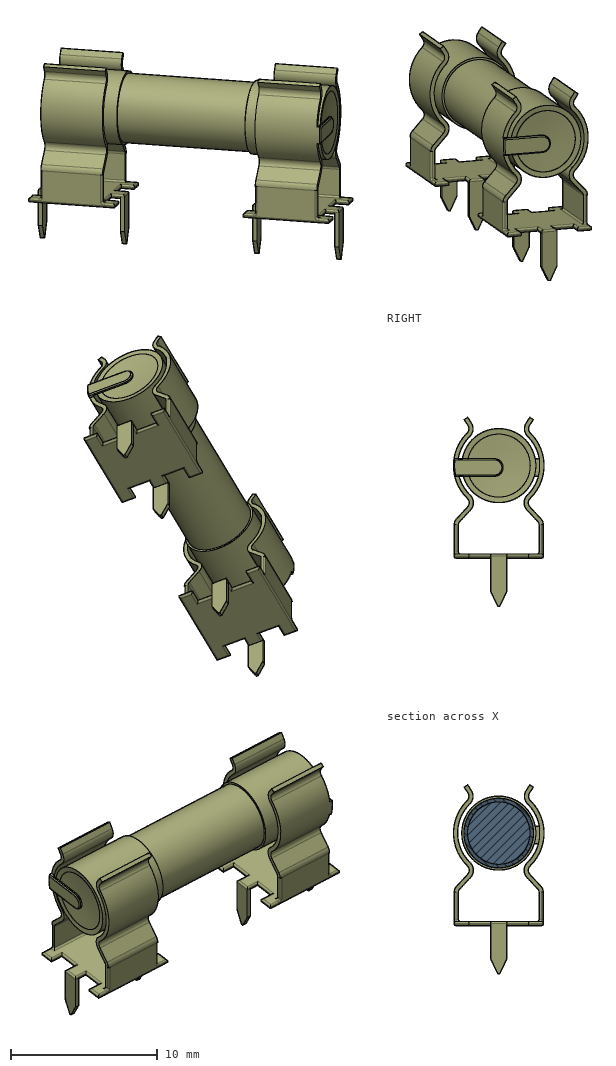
import cadquery as cq
import math

fuse_length = 19.7
axis_height = 6.32
cap_radius = 2.53
tube_radius = 2.38
core_radius = 2.15
cap_length = 5.32
dish_depth = 0.17

overall_length = 21.28
sheet = 0.3
base_length = 6.1
base_width = 6.09
leaf_length = 4.36
edge_round = 0.13

notch_depth = 0.92
pad_width = 1.02
pin_width = 1.1
pin_tip_width = 0.13
pin_depth = 3.28
pin_taper = 1.0

grip_diameter = 6.2
upper_grip_angle = 45.5
upper_crimp_radius = 0.57
lip_angle = 33.0
lip_length = 0.47
lower_grip_angle = 46.0
lower_crimp_radius = 0.57
shoulder_angle = 43.0
shoulder_bend_radius = 0.45

strap_reach = 0.28
strap_height = 1.21
strap_drop = 0.13
strap_overhang = 0.3
strap_chamfer = 0.09

fuse_end = fuse_length / 2
base_center = (overall_length - base_length) / 2
leaf_end = base_center + leaf_length / 2
leaf_start = base_center - leaf_length / 2
strap_outer = leaf_end + strap_reach
grip_radius = grip_diameter / 2
grip_mid_radius = grip_radius - sheet / 2
wall_mid = base_width / 2 - sheet / 2


def x_cylinder(radius, x_start, x_end):
    """Cylinder on the fuse axis between two X positions."""
    plane = cq.Workplane("YZ", origin=(x_start, 0, axis_height))
    return plane.circle(radius).extrude(x_end - x_start)


def dish_point(radius):
    """Point (x, radius) on the spherical hollow of the +X fuse end."""
    ball_radius = (cap_radius ** 2 + dish_depth ** 2) / (2 * dish_depth)
    rise = ball_radius - math.sqrt(ball_radius ** 2 - radius ** 2)
    return (fuse_end - dish_depth + rise, radius)


def spin(profile):
    """Turn a half profile of (x, radius) points about the fuse axis."""
    return profile.close().revolve(360, (0, 0, 0), (1, 0, 0)).translate((0, 0, axis_height))


def make_core():
    """Core that fills the tube and the caps, hollowed at both ends."""
    half_profile = (
        cq.Workplane("XY")
        .lineTo(*dish_point(0))
        .threePointArc(dish_point(core_radius / 2), dish_point(core_radius))
        .lineTo(0, core_radius)
    )
    half = spin(half_profile)
    return half.union(half.mirror("YZ"))


def make_tube():
    tube_end = fuse_end - cap_length
    outside = x_cylinder(tube_radius, -tube_end, tube_end)
    return outside.cut(x_cylinder(core_radius, -tube_end, tube_end))


def make_cap():
    """Ring cap at the +X end, its end face continuing the core's hollow."""
    inner_end = fuse_end - cap_length
    profile = (
        cq.Workplane("XY")
        .moveTo(inner_end, core_radius)
        .lineTo(inner_end, cap_radius)
        .lineTo(*dish_point(cap_radius))
        .threePointArc(dish_point((cap_radius + core_radius) / 2), dish_point(core_radius))
    )
    return spin(profile)


def bent_strip(steps):
    """Strip of sheet in the YZ plane, starting at the grip's widest point.

    Heights are relative to the fuse axis and the strip first runs upward.
    A step is (length, 0) for a straight, or (mid-plane radius, turn in
    degrees) for a bend; a positive turn leans toward the fuse axis.
    """
    y, z, heading = grip_mid_radius, 0.0, 0.0
    half = sheet / 2

    def side_point(y_mid, z_mid, angle, offset):
        return (y_mid + offset * math.cos(angle), z_mid + offset * math.sin(angle))

    stations = [(y, z, heading)]
    arc_middles = []
    for size, turn in steps:
        if turn == 0:
            y -= size * math.sin(heading)
            z += size * math.cos(heading)
            arc_middles.append(None)
        else:
            reach = math.copysign(size, turn)
            center_y = y - reach * math.cos(heading)
            center_z = z - reach * math.sin(heading)
            middle = heading + math.radians(turn) / 2
            heading += math.radians(turn)
            arc_middles.append((*side_point(center_y, center_z, middle, reach), middle))
            y, z = side_point(center_y, center_z, heading, reach)
        stations.append((y, z, heading))

    def trace(outline, targets, middles, offset):
        for target, middle in zip(targets, middles):
            end = side_point(*target, offset)
            if middle is None:
                outline = outline.lineTo(*end)
            else:
                outline = outline.threePointArc(side_point(*middle, offset), end)
        return outline

    outline = cq.Workplane("YZ", origin=(leaf_start, 0, 0)).moveTo(*side_point(*stations[0], half))
    outline = trace(outline, stations[1:], arc_middles, half)
    outline = outline.lineTo(*side_point(*stations[-1], -half))
    outline = trace(outline, stations[-2::-1], arc_middles[::-1], -half)
    return outline.close().extrude(leaf_length)


def make_upper_leaf():
    """Upper half of the grip, its crimp and the flared lip."""
    steps = [
        (grip_mid_radius, upper_grip_angle),
        (upper_crimp_radius, -upper_grip_angle - lip_angle),
        (lip_length, 0),
    ]
    return bent_strip(steps).translate((0, 0, axis_height))


def make_lower_leaf():
    """Lower half of the grip, its crimp and the sloped shoulder, down to the wall top."""
    grip = math.radians(lower_grip_angle)
    slope = math.radians(shoulder_angle)
    crimp_center = grip_mid_radius + lower_crimp_radius
    shoulder_start = crimp_center * math.cos(grip) - lower_crimp_radius * math.cos(slope)
    bend_width = shoulder_bend_radius * (1 - math.cos(slope))
    shoulder_length = (wall_mid - bend_width - shoulder_start) / math.sin(slope)
    steps = [
        (grip_mid_radius, lower_grip_angle),
        (lower_crimp_radius, -lower_grip_angle - shoulder_angle),
        (shoulder_length, 0),
        (shoulder_bend_radius, shoulder_angle),
    ]
    return bent_strip(steps).mirror("XY").translate((0, 0, axis_height))


def make_tray(wall_top):
    """Notched base plate with its two upright walls, rounded along its rims and wall feet."""
    tray = cq.Workplane("XY").box(base_length, base_width, sheet, centered=(True, True, False))
    notch_outer = base_width / 2 - pad_width
    notch_width = notch_outer - pin_width / 2
    notch_y = (notch_outer + pin_width / 2) / 2
    notch_x = (base_length - notch_depth) / 2
    notch_centers = [(sx * notch_x, sy * notch_y) for sx in (1, -1) for sy in (1, -1)]
    notches = cq.Workplane("XY").pushPoints(notch_centers).rect(notch_depth, notch_width).extrude(sheet)
    tray = tray.cut(notches)

    wall_centers = [(0, wall_mid), (0, -wall_mid)]
    walls = cq.Workplane("XY").pushPoints(wall_centers).rect(leaf_length, sheet).extrude(wall_top)
    tray = tray.union(walls)

    wall_corners = tray.faces("<Y or >Y").edges("|Z").edges("not (<X or >X)")
    upper_rim = tray.faces("|Z").faces(cq.selectors.NearestToPointSelector((0, 0, sheet))).edges()
    tray = wall_corners.add(upper_rim).fillet(edge_round)
    tray = tray.faces("<Z").edges().fillet(edge_round)
    return tray.translate((base_center, 0, 0))


def make_pin(side):
    """Pointed solder pin at one end of the base, rounded where it bends down."""
    half, half_tip = pin_width / 2, pin_tip_width / 2
    pin_x = base_center + side * (base_length - sheet) / 2
    outline = [
        (-half, sheet),
        (half, sheet),
        (half, pin_taper - pin_depth),
        (half_tip, -pin_depth),
        (-half_tip, -pin_depth),
        (-half, pin_taper - pin_depth),
    ]
    pin = cq.Workplane("YZ", origin=(pin_x, 0, 0)).polyline(outline).close().extrude(sheet / 2, both=True)
    outer_face = ">X" if side > 0 else "<X"
    top_rim = pin.faces(">Z").edges(f"|X or {outer_face}")
    return top_rim.fillet(edge_round)


def make_strap():
    """Strap from the -Y leaf across the fuse end, with a rounded tip."""
    strap_z = axis_height - strap_drop
    tip_radius = strap_height / 2
    tip_center = strap_overhang - tip_radius
    thickness = strap_outer - fuse_end
    face = cq.Workplane("YZ", origin=(fuse_end, 0, strap_z))
    band = face.center(tip_center - grip_radius, 0).rect(2 * grip_radius, strap_height).extrude(thickness)
    tip = face.center(tip_center, 0).circle(tip_radius).extrude(thickness)
    strap = band.union(tip).intersect(x_cylinder(grip_radius, fuse_end, strap_outer))
    strap = strap.faces(">X").edges().chamfer(strap_chamfer)

    neck = x_cylinder(grip_radius, leaf_end, fuse_end)
    neck = neck.cut(x_cylinder(grip_radius - sheet, leaf_end, fuse_end))
    neck_window = cq.Workplane("XY", origin=(leaf_end, -grip_radius, strap_z))
    neck = neck.intersect(neck_window.box(2 * sheet, grip_radius, strap_height))
    return strap.union(neck)


def make_clip():
    """Clip at the +X end of the fuse."""
    lower_leaf = make_lower_leaf()
    leaf = make_upper_leaf().union(lower_leaf)
    clip = make_tray(lower_leaf.val().BoundingBox().zmin)
    clip = clip.union(leaf).union(leaf.mirror("XZ"))
    for end in (1, -1):
        clip = clip.union(make_pin(end))
    return clip.union(make_strap())


def both_ends(body):
    """The body and its copy turned half a revolution about Z."""
    return [body.rotate((0, 0, 0), (0, 0, 1), angle) for angle in (0, 180)]


core = make_core()
tube = make_tube()
caps = both_ends(make_cap())
clips = both_ends(make_clip())

bodies = [core, tube, *caps, *clips]
result = cq.Compound.makeCompound([body.solids().val() for body in bodies])